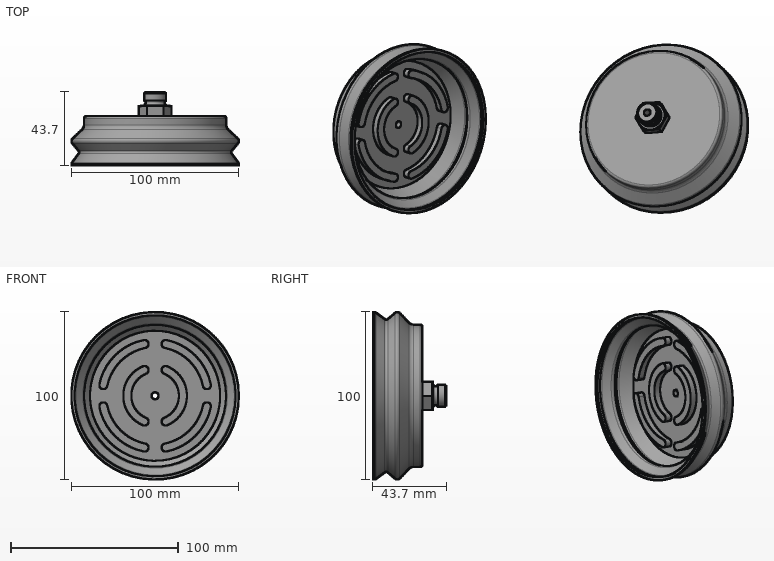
import cadquery as cq
import math

total_height = 43.7
rim_radius = 50.0

plate_radius = 42.5
plate_top = 29.5
plate_edge_radius = 1.6
floor_depth = 20.2
floor_radius = 38.8

neck_fillet_radius = 4.0
neck_fillet_start = 24.2
fold_edge_radius = 2.0
fold_height = 14.5
waist_radius = 45.4
waist_height = 7.9
waist_half_width = 0.9
waist_sag = 0.4
rim_band = 0.9
lip_top = 1.8
lip_inset = 0.4

mouth_radius = 48.0
mouth_land = 2.0
mouth_step = 0.7
mouth_step_depth = 2.8
waist_inner_radius = 42.3
waist_inner_sag = 0.8
waist_inner_half_width = 1.4
fold_inner_radius = 45.2
fold_inner_height = 13.1
fold_inner_half_width = 1.0
fold_inner_sag = 0.5

rib_height = 4.6
rib_width = 4.8
rib_end_offset = 6.3
outer_rib_radius = 31.5
inner_rib_radius = 16.6

hex_across_flats = 17.0
hex_top = 35.3
collar_top = 35.8
stud_radius = 6.6
stud_chamfer = 0.9
stud_bottom = 38.6
relief_radius = 5.7
relief_bottom = 36.4
relief_waist = 37.2
bore_diameter = 4.0


def make_cup():
    """Revolve the bellows cup; profile points are (radius, height)."""
    diagonal = math.sqrt(0.5)
    neck_center = plate_radius + neck_fillet_radius
    neck_end = (
        neck_center - neck_fillet_radius * diagonal,
        neck_fillet_start - neck_fillet_radius * diagonal,
    )
    neck_angle = math.radians(22.5)
    neck_mid = (
        neck_center - neck_fillet_radius * math.cos(neck_angle),
        neck_fillet_start - neck_fillet_radius * math.sin(neck_angle),
    )
    fold_reach = fold_edge_radius * diagonal
    fold_tangent = rim_radius - fold_edge_radius + fold_reach
    waist_side = waist_radius + waist_sag
    waist_inner_side = waist_inner_radius + waist_inner_sag
    fold_inner_side = fold_inner_radius - fold_inner_sag
    corner_reach = plate_edge_radius * (1 - diagonal)
    profile = (
        cq.Workplane("XY")
        .moveTo(0, floor_depth)
        .lineTo(0, plate_top)
        .lineTo(plate_radius - plate_edge_radius, plate_top)
        .threePointArc(
            (plate_radius - corner_reach, plate_top - corner_reach),
            (plate_radius, plate_top - plate_edge_radius),
        )
        .lineTo(plate_radius, neck_fillet_start)
        .threePointArc(neck_mid, neck_end)
        .lineTo(fold_tangent, fold_height + fold_reach)
        .threePointArc((rim_radius, fold_height), (fold_tangent, fold_height - fold_reach))
        .lineTo(waist_side, waist_height + waist_half_width)
        .threePointArc((waist_radius, waist_height), (waist_side, waist_height - waist_half_width))
        .lineTo(rim_radius - lip_inset, lip_top)
        .lineTo(rim_radius, rim_band)
        .lineTo(rim_radius, 0)
        .lineTo(mouth_radius, 0)
        .lineTo(mouth_radius, mouth_land)
        .lineTo(mouth_radius - mouth_step, mouth_step_depth)
        .lineTo(waist_inner_side, waist_height - waist_inner_half_width)
        .threePointArc(
            (waist_inner_radius, waist_height),
            (waist_inner_side, waist_height + waist_inner_half_width),
        )
        .lineTo(fold_inner_side, fold_inner_height - fold_inner_half_width)
        .threePointArc(
            (fold_inner_radius, fold_inner_height),
            (fold_inner_side, fold_inner_height + fold_inner_half_width),
        )
        .lineTo(floor_radius, floor_depth)
        .close()
    )
    return profile.revolve(360, (0, 0, 0), (0, 1, 0))


def make_rib(radius, half_sweep, direction):
    """Curved rib with round ends, centred on the given direction in degrees."""
    center_angle = math.radians(direction)

    def point(distance, angle):
        return distance * math.cos(angle), distance * math.sin(angle)

    start = center_angle - half_sweep
    end = center_angle + half_sweep
    inner = radius - rib_width / 2
    outer = radius + rib_width / 2
    cap_angle = rib_width / 2 / radius
    return (
        cq.Workplane("XZ", origin=(0, floor_depth, 0))
        .moveTo(*point(outer, start))
        .threePointArc(point(outer, center_angle), point(outer, end))
        .threePointArc(point(radius, end + cap_angle), point(inner, end))
        .threePointArc(point(inner, center_angle), point(inner, start))
        .threePointArc(point(radius, start - cap_angle), point(outer, start))
        .close()
        .extrude(rib_height)
    )


def make_ribs():
    """Four outer ribs on the diagonals and two inner ribs on the X axis."""
    outer_half_sweep = math.pi / 4 - math.asin(rib_end_offset / outer_rib_radius)
    inner_half_sweep = math.pi / 2 - math.asin(rib_end_offset / inner_rib_radius)
    ribs = [make_rib(outer_rib_radius, outer_half_sweep, angle) for angle in (45, 135, 225, 315)]
    ribs += [make_rib(inner_rib_radius, inner_half_sweep, angle) for angle in (0, 180)]
    return ribs


def make_hexagon():
    across_corners = hex_across_flats / math.cos(math.pi / 6)
    return (
        cq.Workplane("XZ", origin=(0, hex_top, 0))
        .polygon(6, across_corners)
        .extrude(hex_top - plate_top)
    )


def make_stud():
    """Revolve the collar, rounded thread relief and chamfered stud."""
    relief_edge_radius = (relief_radius + stud_radius) / 2
    collar_radius = hex_across_flats / 2
    profile = (
        cq.Workplane("XY")
        .moveTo(0, hex_top)
        .lineTo(collar_radius, hex_top)
        .lineTo(collar_radius, collar_top)
        .lineTo(stud_radius, collar_top)
        .lineTo(relief_edge_radius, relief_bottom)
        .threePointArc((relief_radius, relief_waist), (stud_radius, stud_bottom))
        .lineTo(stud_radius, total_height - stud_chamfer)
        .lineTo(stud_radius - stud_chamfer, total_height)
        .lineTo(0, total_height)
        .close()
    )
    return profile.revolve(360, (0, 0, 0), (0, 1, 0))


body = make_cup().union(make_hexagon()).union(make_stud())
for rib in make_ribs():
    body = body.union(rib)

bore = cq.Workplane("XZ", origin=(0, total_height, 0)).circle(bore_diameter / 2).extrude(total_height)
result = body.cut(bore)